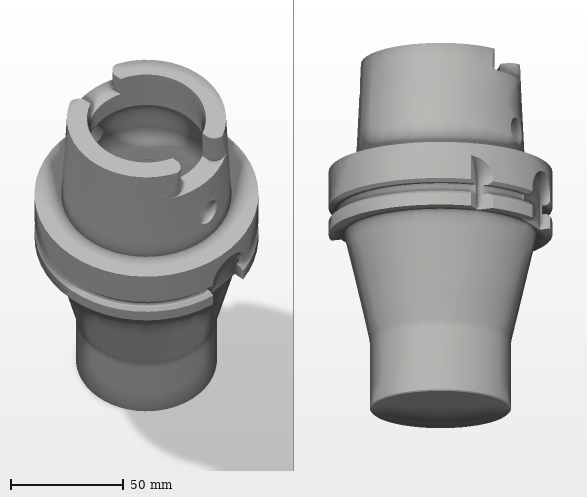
import cadquery as cq
import math

total_length = 159.9
shank_length = 49.9
flange_thickness = 29.0
tip_z = total_length
face_z = tip_z - shank_length
flange_bottom_z = face_z - flange_thickness

shank_base_radius = 38.0
shank_tip_radius = 35.5
bore_radius = 26.53
bore_edge_depth = 20.1
cavity_radius = 31.5
cavity_shoulder_angle = math.radians(30)
cavity_wall_depth = 40.4
cavity_floor_radius = 24.7
cavity_floor_z = tip_z - cavity_wall_depth - (cavity_radius - cavity_floor_radius)

flange_radius = 49.965
groove_z = face_z - 20.0
groove_floor_radius = 46.0
groove_shoulder_radius = 48.2
groove_mouth_half_width = 3.3
groove_floor_half_width = 2.0

neck_top_radius = 43.0
neck_half_angle = math.radians(13.1)
nose_radius = 31.5
nose_blend_radius = 13.0
nose_chamfer = 0.5

pin_radius = 8.0
pin_top_z = tip_z - 34.3
pin_taper_angle = math.radians(15)
pin_taper_length = 2.0
pin_rounding = 1.5

cross_hole_diameter = 12.0
cross_hole_z = face_z + 15.0

drive_slot_width = 20.0
left_slot_depth = 10.0
right_slot_depth = 15.0
lug_rounding = 5.0
lug_center_x = 27.2
relief_tail_length = 6.0
relief_outer_radius = 12.0
left_slot_floor_fillet = 1.5

keyway_width = 20.0
keyway_floor = 44.0
keyway_crown_z = face_z - 5.3
notch_floor = 31.5
notch_side = 31.3


def make_body():
    """Revolve the outer profile of shank, flange, neck and nose."""
    neck_run = (neck_top_radius - nose_radius) / math.tan(neck_half_angle)
    nose_top_z = flange_bottom_z - neck_run
    blend_length = nose_blend_radius * math.tan(neck_half_angle / 2)
    blend_top = (
        nose_radius + blend_length * math.sin(neck_half_angle),
        nose_top_z + blend_length * math.cos(neck_half_angle),
    )
    blend_mid = (
        nose_radius + nose_blend_radius * (1 - math.cos(neck_half_angle / 2)),
        nose_top_z - blend_length + nose_blend_radius * math.sin(neck_half_angle / 2),
    )
    return (
        cq.Workplane("XZ")
        .moveTo(0, 0)
        .lineTo(nose_radius - nose_chamfer, 0)
        .lineTo(nose_radius, nose_chamfer)
        .lineTo(nose_radius, nose_top_z - blend_length)
        .threePointArc(blend_mid, blend_top)
        .lineTo(neck_top_radius, flange_bottom_z)
        .lineTo(flange_radius, flange_bottom_z)
        .lineTo(flange_radius, groove_z - groove_mouth_half_width)
        .lineTo(groove_shoulder_radius, groove_z - groove_floor_half_width)
        .lineTo(groove_floor_radius, groove_z - groove_floor_half_width)
        .lineTo(groove_floor_radius, groove_z + groove_floor_half_width)
        .lineTo(groove_shoulder_radius, groove_z + groove_floor_half_width)
        .lineTo(flange_radius, groove_z + groove_mouth_half_width)
        .lineTo(flange_radius, face_z)
        .lineTo(shank_base_radius, face_z)
        .lineTo(shank_tip_radius, tip_z)
        .lineTo(0, tip_z)
        .close()
        .revolve(360, (0, 0), (0, 1))
    )


def make_bore():
    """Bore of the shank, opening into a wider clamping cavity with a rounded floor edge."""
    fillet = cavity_radius - cavity_floor_radius
    bore_edge_z = tip_z - bore_edge_depth
    shoulder_drop = (cavity_radius - bore_radius) * math.tan(cavity_shoulder_angle)
    return (
        cq.Workplane("XZ")
        .moveTo(0, cavity_floor_z)
        .lineTo(cavity_floor_radius, cavity_floor_z)
        .radiusArc((cavity_radius, cavity_floor_z + fillet), -fillet)
        .lineTo(cavity_radius, bore_edge_z - shoulder_drop)
        .lineTo(bore_radius, bore_edge_z)
        .lineTo(bore_radius, tip_z)
        .lineTo(0, tip_z)
        .close()
        .revolve(360, (0, 0), (0, 1))
    )


def make_pin():
    """Coolant pin standing on the cavity floor, with a tapered and rounded top."""
    taper_top_radius = pin_radius - pin_taper_length * math.tan(pin_taper_angle)
    taper_top_z = pin_top_z - pin_rounding * (1 - math.sin(pin_taper_angle))
    top_radius = taper_top_radius - pin_rounding * math.cos(pin_taper_angle)
    return (
        cq.Workplane("XZ")
        .moveTo(0, cavity_floor_z)
        .lineTo(pin_radius, cavity_floor_z)
        .lineTo(pin_radius, taper_top_z - pin_taper_length)
        .lineTo(taper_top_radius, taper_top_z)
        .radiusArc((top_radius, pin_top_z), -pin_rounding)
        .lineTo(0, pin_top_z)
        .close()
        .revolve(360, (0, 0), (0, 1))
    )


def relief_section(height, floor_fillet):
    """Cross-section of the lug clearance, drawn outward from the lug corner's centre line."""
    section = cq.Workplane("XZ").moveTo(relief_outer_radius, 0)
    if floor_fillet > 0:
        section = section.lineTo(lug_rounding + floor_fillet, 0)
        section = section.radiusArc((lug_rounding, floor_fillet), floor_fillet)
    else:
        section = section.lineTo(lug_rounding, 0)
    return section.lineTo(lug_rounding, height).lineTo(relief_outer_radius, height).close()


def make_lug_relief(floor_z, floor_fillet):
    """Clearance round the outer corner of the lug at +X, +Y, leaving along a straight tail."""
    center_y = drive_slot_width / 2 + lug_rounding
    tail_angle = math.degrees(math.atan2(center_y, lug_center_x))
    height = tip_z - floor_z
    arc = relief_section(height, floor_fillet).revolve(90 + tail_angle, (0, 0), (0, -1))
    tail = relief_section(height, floor_fillet).extrude(-relief_tail_length)
    return (
        arc.union(tail)
        .rotate((0, 0, 0), (0, 0, 1), tail_angle)
        .translate((lug_center_x, center_y, floor_z))
    )


def make_drive_slot(depth, floor_fillet=0):
    """Open slot at the +X side of the shank tip, with both lug corners relieved."""
    floor_z = tip_z - depth
    slot = cq.Workplane("XY", origin=(0, 0, floor_z)).box(
        flange_radius, drive_slot_width, depth, centered=(False, True, False)
    )
    relief = make_lug_relief(floor_z, floor_fillet)
    return slot.union(relief).union(relief.mirror("XZ"))


def make_keyway(floor_x, center_y):
    """Round-topped keyway at the -X side, open through the flange underside."""
    radius = keyway_width / 2
    arc_z = keyway_crown_z - radius
    return (
        cq.Workplane("YZ", origin=(-flange_radius, 0, 0))
        .moveTo(center_y - radius, flange_bottom_z)
        .lineTo(center_y - radius, arc_z)
        .threePointArc((center_y, keyway_crown_z), (center_y + radius, arc_z))
        .lineTo(center_y + radius, flange_bottom_z)
        .close()
        .extrude(flange_radius - floor_x)
    )


def make_cross_hole():
    """Radial holes through both sides of the shank wall."""
    return (
        cq.Workplane("YZ", origin=(-flange_radius, 0, cross_hole_z))
        .circle(cross_hole_diameter / 2)
        .extrude(2 * flange_radius)
    )


half_turn = ((0, 0, 0), (0, 0, 1), 180)
keyway = make_keyway(keyway_floor, 0)

result = (
    make_body()
    .cut(make_bore())
    .cut(make_cross_hole())
    .cut(make_drive_slot(right_slot_depth))
    .cut(make_drive_slot(left_slot_depth, left_slot_floor_fillet).rotate(*half_turn))
    .cut(keyway)
    .cut(keyway.rotate(*half_turn))
    .cut(make_keyway(notch_floor, notch_side + keyway_width / 2))
    .union(make_pin())
)